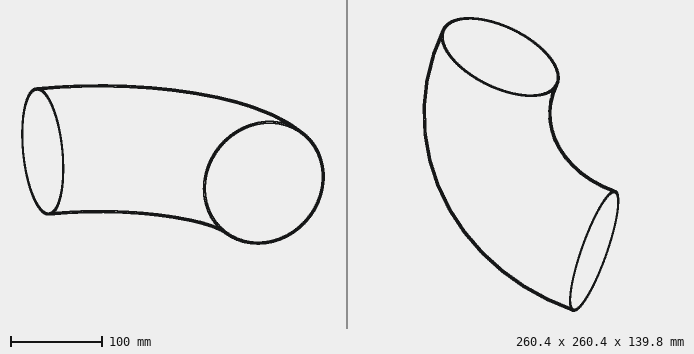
import cadquery as cq

overall_size = 260.4
outer_diameter = 139.8
wall_thickness = 2.0
bend_angle = 90.0

outer_radius = outer_diameter / 2
inner_radius = outer_radius - wall_thickness
bend_radius = overall_size - outer_radius


def pipe_elbow():
    """Sweep the pipe ring about the Z axis, from the -Y facing end to the +X facing end."""
    return (
        cq.Workplane("XZ")
        .center(-bend_radius, 0)
        .circle(outer_radius)
        .circle(inner_radius)
        .revolve(bend_angle, (bend_radius, 0), (bend_radius, -1))
    )


result = pipe_elbow()